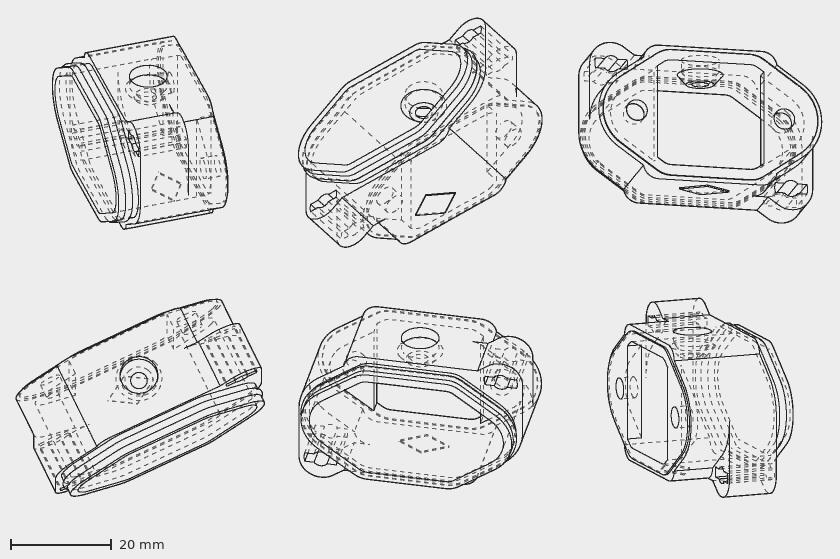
import cadquery as cq
import math

END_X = 13.5
END_R = 7.9
CORNER_X = 8.0
CORNER_Z = 8.0
CORNER_R = 4.5

RIM_DEPTH = 4.1
BODY_DEPTH = 18.2
LIP_DEPTH = 0.4
LUG_DEPTH = 10.0
BACK_WALL = 3.0

BODY_OFFSET = 1.3
LIP_OFFSET = 0.45
CAVITY_OFFSET = -1.7

BEAD_R = 0.76
BEAD_PROUD = 0.5
BEAD_Y = -1.93

BLOCK_HALF_X = 13.62
BLOCK_CORNER_R = 3.14

LUG_R = 4.4
LUG_TOP_Z = 16.14
SLOT_HEIGHT = 2.0
SLOT_END_R = 3.35
SLOT_HOLE_R = 1.65

WINDOW_HALF_X = 10.82
SCREW_X = 15.0
SCREW_D = 4.2

SOCKET_Y = 9.0
SOCKET_R = 3.75
SOCKET_HOLE_R = 1.65
SOCKET_SEAT_Z = 11.5
CONE_BOTTOM_Z = 8.83
CONE_BOTTOM_R = 2.8
CONE_TOP_R = 4.55

DIAMOND_Y = 12.75
DIAMOND_HALF_X = 5.05
DIAMOND_HALF_Y = 3.1
DIAMOND_HEIGHT = 0.28

BODY_HALF_X = END_X + END_R + BODY_OFFSET
BODY_HALF_Z = CORNER_Z + CORNER_R + BODY_OFFSET
CAVITY_HALF_Z = CORNER_Z + CORNER_R + CAVITY_OFFSET
BACK_Y = BODY_DEPTH + LIP_DEPTH
LUG_X = BODY_HALF_X - LUG_R
LUG_Z = LUG_TOP_Z - LUG_R

CENTER_DX = END_X - CORNER_X
SLOPE = (
    math.acos((END_R - CORNER_R) / math.hypot(CENTER_DX, CORNER_Z))
    - math.atan2(CENTER_DX, CORNER_Z)
)


def xz_plane(y):
    """Plane at the given Y with local axes X and Z; it extrudes toward +Y with a negative length."""
    return cq.Workplane("XZ", origin=(0, y, 0))


def on_circle(x, z, radius, angle):
    """Point on a circle, with the angle measured from +Z toward +X."""
    return (x + radius * math.sin(angle), z + radius * math.cos(angle))


def outline(y, offset):
    """Rim outline grown by the offset, starting at the middle of its top edge."""
    end_r = END_R + offset
    corner_r = CORNER_R + offset
    top_z = CORNER_Z + corner_r
    side_x, side_z = on_circle(END_X, 0, end_r, SLOPE)
    knee_x, knee_z = on_circle(CORNER_X, CORNER_Z, corner_r, SLOPE)
    mid_x, mid_z = on_circle(CORNER_X, CORNER_Z, corner_r, SLOPE / 2)
    end_x = END_X + end_r
    return (
        xz_plane(y)
        .moveTo(0, top_z)
        .lineTo(CORNER_X, top_z)
        .threePointArc((mid_x, mid_z), (knee_x, knee_z))
        .lineTo(side_x, side_z)
        .threePointArc((end_x, 0), (side_x, -side_z))
        .lineTo(knee_x, -knee_z)
        .threePointArc((mid_x, -mid_z), (CORNER_X, -top_z))
        .lineTo(-CORNER_X, -top_z)
        .threePointArc((-mid_x, -mid_z), (-knee_x, -knee_z))
        .lineTo(-side_x, -side_z)
        .threePointArc((-end_x, 0), (-side_x, side_z))
        .lineTo(-knee_x, knee_z)
        .threePointArc((-mid_x, mid_z), (-CORNER_X, top_z))
        .close()
    )


def slab(y_start, y_end, offset):
    """Solid with the offset rim outline between two Y positions."""
    return outline(y_start, offset).extrude(y_start - y_end)


def half_turn(shape):
    """The same shape turned half a revolution about Y."""
    return shape.rotate((0, 0, 0), (0, 1, 0), 180)


def corner_block():
    return (
        xz_plane(0)
        .rect(2 * BLOCK_HALF_X, 2 * BODY_HALF_Z)
        .extrude(-BODY_DEPTH)
        .edges("|Y")
        .fillet(BLOCK_CORNER_R)
    )


def bead():
    path_offset = BEAD_PROUD - BEAD_R
    path = outline(BEAD_Y, path_offset)
    center_z = CORNER_Z + CORNER_R + path_offset
    section = cq.Workplane("YZ").center(BEAD_Y, center_z).circle(BEAD_R)
    return section.sweep(path)


def lug():
    """Ear at the +X +Z corner; its sloped flank is tangent to the round tip."""
    tip_x, tip_z = on_circle(LUG_X, LUG_Z, LUG_R, -SLOPE)
    foot_x = tip_x - (tip_z - BODY_HALF_Z) / math.tan(SLOPE)
    return (
        xz_plane(0)
        .moveTo(0, 0)
        .lineTo(0, BODY_HALF_Z)
        .lineTo(foot_x, BODY_HALF_Z)
        .lineTo(tip_x, tip_z)
        .threePointArc(on_circle(LUG_X, LUG_Z, LUG_R, math.pi / 4), (BODY_HALF_X, LUG_Z))
        .lineTo(BODY_HALF_X, 0)
        .close()
        .extrude(-LUG_DEPTH)
    )


def lug_slot():
    """Flat slot with bowed ends and a round hole in its middle."""
    center = xz_plane(0).center(LUG_X, LUG_Z)
    bar = center.rect(2 * SLOT_END_R, SLOT_HEIGHT).extrude(-LUG_DEPTH)
    ends = center.circle(SLOT_END_R).extrude(-LUG_DEPTH)
    hole = center.circle(SLOT_HOLE_R).extrude(-LUG_DEPTH)
    return bar.intersect(ends).union(hole)


def window():
    """Opening through the back wall, flush with the cavity floor and ceiling."""
    rough = xz_plane(-RIM_DEPTH).rect(2 * WINDOW_HALF_X, 2 * CAVITY_HALF_Z).extrude(-RIM_DEPTH - BACK_Y)
    return rough.intersect(slab(-RIM_DEPTH, BACK_Y, CAVITY_OFFSET))


def screw_holes():
    return xz_plane(0).pushPoints([(-SCREW_X, 0), (SCREW_X, 0)]).circle(SCREW_D / 2).extrude(-BACK_Y)


def turned(profile):
    """Solid of revolution about the socket axis from (radius, Z) points."""
    return (
        cq.Workplane("XZ", origin=(0, SOCKET_Y, 0))
        .polyline(profile)
        .close()
        .revolve(360, (0, 0, 0), (0, 1, 0))
    )


def socket_shell():
    return turned([
        (0, CONE_BOTTOM_Z),
        (CONE_BOTTOM_R, CONE_BOTTOM_Z),
        (CONE_TOP_R, CAVITY_HALF_Z),
        (CONE_TOP_R, BODY_HALF_Z),
        (0, BODY_HALF_Z),
    ])


def socket_bore():
    return turned([
        (0, CONE_BOTTOM_Z),
        (SOCKET_HOLE_R, CONE_BOTTOM_Z),
        (SOCKET_R, SOCKET_SEAT_Z),
        (SOCKET_R, BODY_HALF_Z),
        (0, BODY_HALF_Z),
    ])


def diamond():
    """Raised diamond on the underside, rooted in the bottom wall."""
    points = [
        (DIAMOND_HALF_X, DIAMOND_Y),
        (0, DIAMOND_Y + DIAMOND_HALF_Y),
        (-DIAMOND_HALF_X, DIAMOND_Y),
        (0, DIAMOND_Y - DIAMOND_HALF_Y),
    ]
    bottom_z = -BODY_HALF_Z - DIAMOND_HEIGHT
    height = -CAVITY_HALF_Z - bottom_z
    return cq.Workplane("XY", origin=(0, 0, bottom_z)).polyline(points).close().extrude(height)


body = slab(0, BODY_DEPTH, BODY_OFFSET).union(corner_block())
body = body.union(lug()).union(half_turn(lug()))
body = body.union(slab(-RIM_DEPTH, 0, 0)).union(bead())
body = body.union(slab(BODY_DEPTH, BACK_Y, LIP_OFFSET))

body = body.cut(slab(-RIM_DEPTH, BACK_Y - BACK_WALL, CAVITY_OFFSET))
body = body.cut(window()).cut(screw_holes())

body = body.cut(lug_slot()).cut(half_turn(lug_slot()))
body = body.union(socket_shell()).cut(socket_bore())
body = body.union(diamond())

result = body